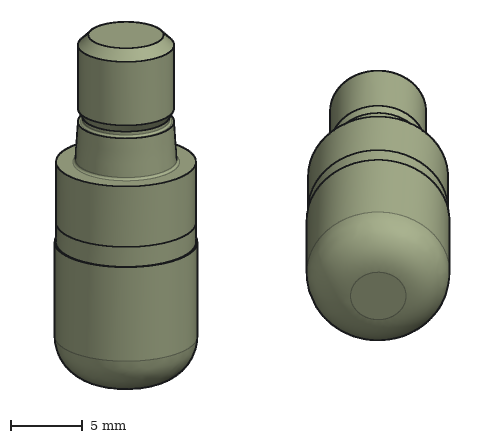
import cadquery as cq
import math

total_height = 25.5
thread_bottom = 20.02
neck_top = 19.43
taper_top = 19.05
shoulder = 16.05
joint = 11.53
cap_step = 10.05

thread_radius = 3.37
neck_radius = 3.03
taper_top_radius = 3.37
taper_bottom_radius = 3.55
collar_radius = 4.9
cap_radius = 5.0

tip_chamfer = 0.75
neck_fillet = 0.15
taper_fillet = 0.18
cap_round = 3.05


def quarter_mid(offset):
    """Distance of a quarter arc's midpoint from each of its end tangents."""
    return offset * (1 - math.sqrt(0.5))


def make_stud():
    """Stud with a chamfered tip, an undercut neck, a tapered root and a collar."""
    neck_mid = quarter_mid(neck_fillet)
    taper_mid = quarter_mid(taper_fillet)
    profile = (
        cq.Workplane("XZ")
        .moveTo(0, joint)
        .lineTo(collar_radius, joint)
        .lineTo(collar_radius, shoulder)
        .lineTo(taper_bottom_radius + taper_fillet, shoulder)
        .threePointArc(
            (taper_bottom_radius + taper_mid, shoulder + taper_mid),
            (taper_bottom_radius, shoulder + taper_fillet),
        )
        .lineTo(taper_top_radius, taper_top)
        .lineTo(neck_radius + neck_fillet, taper_top)
        .threePointArc(
            (neck_radius + neck_mid, taper_top + neck_mid),
            (neck_radius, taper_top + neck_fillet),
        )
        .lineTo(neck_radius, neck_top)
        .lineTo(thread_radius, thread_bottom)
        .lineTo(thread_radius, total_height - tip_chamfer)
        .lineTo(thread_radius - tip_chamfer, total_height)
        .lineTo(0, total_height)
        .close()
    )
    return profile.revolve(360, (0, 0), (0, 1))


def make_cap():
    """Cap with a rounded bottom edge and a slightly narrower band at its top."""
    cap = cq.Workplane("XY").circle(cap_radius).extrude(cap_step)
    cap = cap.faces("<Z").edges().fillet(cap_round)
    return cap.faces(">Z").workplane().circle(collar_radius).extrude(joint - cap_step)


stud = make_stud()
cap = make_cap()

result = cq.Compound.makeCompound([stud.val(), cap.val()])